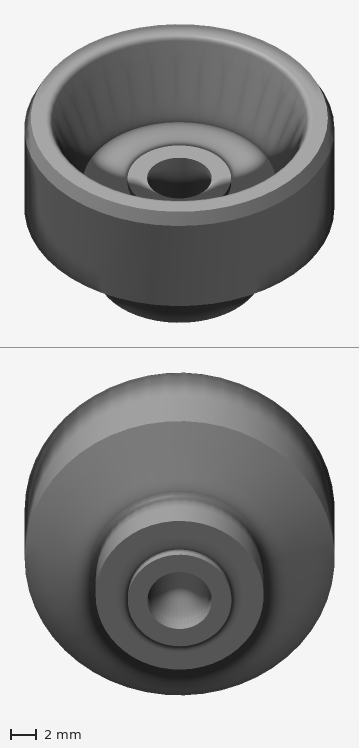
import cadquery as cq

wheel_radius = 12.0
wheel_height = 16.0
rim_chamfer_width = 0.5
rim_chamfer_height = 1.0
wall_bottom_z = 7.0

hub_radius = 6.5
hub_bottom_z = 0.86
hub_top_z = 4.9
hub_fillet = 0.5

pocket_top_radius = 10.0
pocket_floor_radius = 7.5
pocket_depth = 6.5
pocket_lip_fillet = 0.5
pocket_floor_z = wheel_height - pocket_depth

boss_radius = 4.0
boss_top_z = 10.0

bushing_radius = 3.0
bore_radius = 2.5


def round_circle(body, radius, z, fillet_radius):
    """Fillet the circular edge of the given radius at height z."""
    tolerance = 0.002
    edges = body.edges("%CIRCLE").filter(
        lambda edge: abs(edge.radius() - radius) < tolerance and abs(edge.Center().z - z) < tolerance
    )
    return edges.fillet(fillet_radius)


def make_wheel():
    profile = (
        cq.Workplane("XZ")
        .moveTo(bushing_radius, 0)
        .lineTo(boss_radius, 0)
        .lineTo(boss_radius, hub_bottom_z)
        .lineTo(hub_radius, hub_bottom_z)
        .lineTo(hub_radius, hub_top_z)
        .lineTo(wheel_radius, wall_bottom_z)
        .lineTo(wheel_radius, wheel_height - rim_chamfer_height)
        .lineTo(wheel_radius - rim_chamfer_width, wheel_height)
        .lineTo(pocket_top_radius, wheel_height)
        .lineTo(pocket_floor_radius, pocket_floor_z)
        .lineTo(boss_radius, pocket_floor_z)
        .lineTo(boss_radius, boss_top_z)
        .lineTo(bushing_radius, boss_top_z)
        .close()
    )
    wheel = profile.revolve(360, (0, 0, 0), (0, 1, 0))
    wheel = round_circle(wheel, hub_radius, hub_top_z, hub_fillet)
    return round_circle(wheel, pocket_top_radius, wheel_height, pocket_lip_fillet)


def make_bushing():
    return cq.Workplane("XY").circle(bushing_radius).circle(bore_radius).extrude(boss_top_z)


wheel = make_wheel()
bushing = make_bushing()

result = cq.Compound.makeCompound([wheel.val(), bushing.val()])